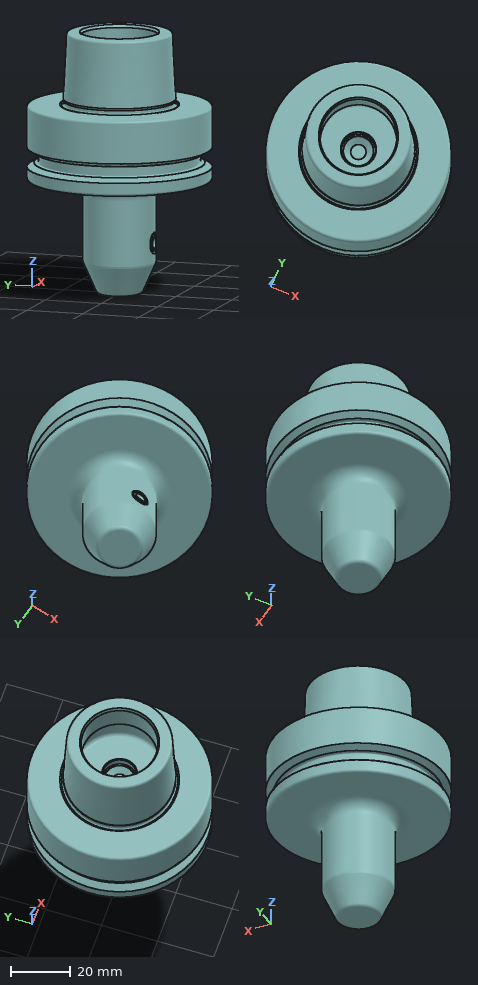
import cadquery as cq
import math


taper_height = 25.0
taper_base_z = 2.0
taper_base_radius = 19.15
taper_ratio = 9.98
taper_top_radius = taper_base_radius - (taper_height - taper_base_z) / (2 * taper_ratio)
taper_top_fillet = 1.0

neck_radius = 18.9
neck_top_z = 1.25
neck_bottom_z = 0.4
relief_fillet = 0.8
relief_floor_z = neck_bottom_z - relief_fillet
relief_floor_radius = neck_radius + relief_fillet
relief_mouth_radius = 20.25

flange_radius = 31.5
flange_height = 26.0
flange_fillet = 1.0
groove_center_z = -18.05
groove_radius = 27.5
groove_mouth_half = 3.35
groove_ledge_half = 1.9
groove_side_angle = 30.0
groove_side_drop = groove_mouth_half - groove_ledge_half
groove_ledge_radius = flange_radius - groove_side_drop / math.tan(math.radians(groove_side_angle))
groove_fillet = 0.45

nose_end_z = -65.0
nose_radius = 12.5
nose_root_fillet = 5.0
cone_start_z = -54.2
cone_angle = 24.0
nose_tip_radius = nose_radius - (cone_start_z - nose_end_z) * math.tan(math.radians(cone_angle))
cone_start_fillet = 1.8
nose_tip_fillet = 1.5

bore_radius = 13.0
bore_mouth_radius = 13.5
bore_mouth_depth = 1.0
bore_depth = 10.0
chamber_radius = 16.0
chamber_depth = 21.3
chamber_floor_fillet = 1.5

hole_mouth_radius = 6.05
hole_radius = 5.75
hole_depth = 3.0
cone_mouth_radius = 5.1
cone_floor_radius = 2.6
cone_depth = 1.5

screw_z = -47.1
screw_radius = 3.0
screw_face_y = -nose_radius
screw_chamfer = 0.55
countersink_radius = 3.7
countersink_floor_y = -nose_radius + countersink_radius - screw_radius
cut_overlap = 1.0
socket_mouth_radius = 1.95
socket_rim_radius = 1.65
socket_rim_depth = 0.5
socket_floor_radius = 1.1
socket_depth = 1.1


def round_rim(body, radius, z, fillet):
    """Fillet the circular edge of the given radius at height z."""
    tolerance = 0.01

    def is_rim(edge):
        box = edge.BoundingBox()
        is_level = abs(box.zmin - z) < tolerance and abs(box.zmax - z) < tolerance
        return is_level and abs(box.xmax - radius) < tolerance

    rims = [edge for edge in body.edges("%CIRCLE").vals() if is_rim(edge)]
    return body.newObject(rims).fillet(fillet)


def turned_body():
    """The outside of the holder, with all its rounded rims."""
    fillet_turn = relief_fillet * math.sqrt(0.5)
    profile = (
        cq.Workplane("YZ")
        .moveTo(0, nose_end_z)
        .lineTo(-nose_tip_radius, nose_end_z)
        .lineTo(-nose_radius, cone_start_z)
        .lineTo(-nose_radius, -flange_height)
        .lineTo(-flange_radius, -flange_height)
        .lineTo(-flange_radius, groove_center_z - groove_mouth_half)
        .lineTo(-groove_ledge_radius, groove_center_z - groove_ledge_half)
        .lineTo(-groove_radius, groove_center_z - groove_ledge_half)
        .lineTo(-groove_radius, groove_center_z + groove_ledge_half)
        .lineTo(-groove_ledge_radius, groove_center_z + groove_ledge_half)
        .lineTo(-flange_radius, groove_center_z + groove_mouth_half)
        .lineTo(-flange_radius, 0)
        .lineTo(-relief_mouth_radius, 0)
        .lineTo(-relief_floor_radius, relief_floor_z)
        .threePointArc(
            (-relief_floor_radius + fillet_turn, neck_bottom_z - fillet_turn),
            (-neck_radius, neck_bottom_z),
        )
        .lineTo(-neck_radius, neck_top_z)
        .lineTo(-taper_base_radius, taper_base_z)
        .lineTo(-taper_top_radius, taper_height)
        .lineTo(0, taper_height)
        .close()
    )
    body = profile.revolve(360, (0, 0, 0), (0, 1, 0))
    body = round_rim(body, taper_top_radius, taper_height, taper_top_fillet)
    body = round_rim(body, flange_radius, 0, flange_fillet)
    body = round_rim(body, flange_radius, -flange_height, flange_fillet)
    for side in (-1, 1):
        body = round_rim(body, groove_radius, groove_center_z + side * groove_ledge_half, groove_fillet)
    body = round_rim(body, nose_radius, -flange_height, nose_root_fillet)
    body = round_rim(body, nose_radius, cone_start_z, cone_start_fillet)
    return round_rim(body, nose_tip_radius, nose_end_z, nose_tip_fillet)


def bore_space():
    """The hollow of the shank: mouth, bore, wider chamber and stepped hole."""
    floor_z = taper_height - chamber_depth
    ledge_z = floor_z - hole_depth
    hollow = (
        cq.Workplane("YZ")
        .moveTo(0, taper_height)
        .lineTo(-bore_mouth_radius, taper_height)
        .lineTo(-bore_radius, taper_height - bore_mouth_depth)
        .lineTo(-bore_radius, taper_height - bore_depth)
        .lineTo(-chamber_radius, taper_height - bore_depth)
        .lineTo(-chamber_radius, floor_z)
        .lineTo(-hole_mouth_radius, floor_z)
        .lineTo(-hole_radius, floor_z - (hole_mouth_radius - hole_radius))
        .lineTo(-hole_radius, ledge_z)
        .lineTo(-cone_mouth_radius, ledge_z)
        .lineTo(-cone_floor_radius, ledge_z - cone_depth)
        .lineTo(0, ledge_z - cone_depth)
        .close()
        .revolve(360, (0, 0, 0), (0, 1, 0))
    )
    return round_rim(hollow, chamber_radius, floor_z, chamber_floor_fillet)


def screw_space():
    """What is cut from the nose at the screw: countersink, gap round the screw tip, and socket."""
    outside_y = -nose_radius - cut_overlap
    outside_radius = screw_radius + countersink_floor_y - outside_y
    return (
        cq.Workplane("XY")
        .moveTo(0, outside_y)
        .lineTo(outside_radius, outside_y)
        .lineTo(screw_radius, countersink_floor_y)
        .lineTo(screw_radius, screw_face_y + screw_chamfer)
        .lineTo(screw_radius - screw_chamfer, screw_face_y)
        .lineTo(socket_mouth_radius, screw_face_y)
        .lineTo(socket_rim_radius, screw_face_y + socket_rim_depth)
        .lineTo(socket_floor_radius, screw_face_y + socket_depth)
        .lineTo(0, screw_face_y + socket_depth)
        .close()
        .revolve(360, (0, 0, 0), (0, 1, 0))
        .translate((0, 0, screw_z))
    )


result = turned_body().cut(bore_space()).cut(screw_space())